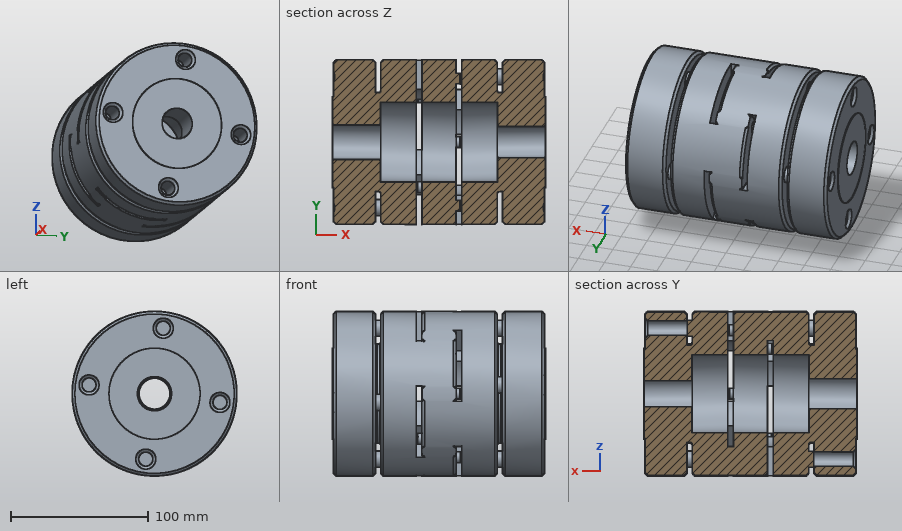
import cadquery as cq
import math


total_length = 155.0
half_length = total_length / 2
boss_height = 0.6
flange_outer_face = half_length - boss_height
flange_inner_face = 46.2
body_end = 42.5
hub_step = 45.1
hub_cone_start = 43.2

outer_diameter = 120.0
boss_diameter = 66.3
hub_diameter = 72.4
hub_step_diameter = 72.0
hub_cone_diameter = 74.4
bore_diameter = 22.5
wide_bore_diameter = 25.0
cavity_diameter = 58.0
groove_diameter = 78.1
rim_chamfer = 2.0

bolt_count = 4
bolt_circle_radius = 48.0
bolt_twist = 7.6
bolt_diameter = 12.0
bolt_hole_diameter = 10.2
countersink_diameter = 14.5

slot_count = 4
slot_outer_face = 16.5
pad_face = 12.4
pad_root = 10.5
pad_root_half_width = 5.5
pad_bevel = pad_face - pad_root
pad_spacing = 45.0
stud_diameter = 8.0
stud_circle_radius = 46.2
stud_end = 15.3

slot_reach = outer_diameter


def rod(diameter, start, end):
    """Cylinder on the X axis between two axial positions."""
    return cq.Workplane("YZ", origin=(start, 0, 0)).circle(diameter / 2).extrude(end - start)


def cone(start_diameter, end_diameter, start, end):
    """Truncated cone on the X axis."""
    solid = cq.Solid.makeCone(
        start_diameter / 2,
        end_diameter / 2,
        end - start,
        pnt=cq.Vector(start, 0, 0),
        dir=cq.Vector(1, 0, 0),
    )
    return cq.Workplane(obj=solid)


def around(shape, radius, count, first_angle):
    """Equally spaced copies of a shape on a circle; angles run from +Y towards +Z."""
    copies = cq.Workplane()
    for index in range(count):
        angle = first_angle + index * 360 / count
        copies = copies.add(shape.translate((0, radius, 0)).rotate((0, 0, 0), (1, 0, 0), angle))
    return copies.combine()


def chamfered_drum(start, end):
    """Solid drum of the full outer diameter with chamfered rims."""
    return rod(outer_diameter, start, end).faces("<X or >X").chamfer(rim_chamfer)


def end_flange(bolt_angle):
    """Flange, neck and bolts at the +X end, without the bore."""
    flange = chamfered_drum(flange_inner_face, flange_outer_face)
    boss = rod(boss_diameter, flange_outer_face - boss_height, half_length)
    neck = rod(hub_diameter, body_end, hub_step)
    neck_step = rod(hub_step_diameter, hub_step, flange_inner_face)
    neck_cone = cone(hub_cone_diameter, hub_diameter, body_end, hub_cone_start)
    bolt = rod(bolt_diameter, body_end, flange_inner_face)

    countersink_depth = (countersink_diameter - bolt_hole_diameter) / 2
    hole = rod(bolt_hole_diameter, flange_inner_face, flange_outer_face).union(
        cone(
            bolt_hole_diameter,
            countersink_diameter,
            flange_outer_face - countersink_depth,
            flange_outer_face,
        )
    )
    solid = flange.union(boss).union(neck).union(neck_step).union(neck_cone)
    solid = solid.union(around(bolt, bolt_circle_radius, bolt_count, bolt_angle))
    return solid.cut(around(hole, bolt_circle_radius, bolt_count, bolt_angle))


def slot_cutter(slot_angle):
    """Slots on the +X side; their inner wall has a bevelled rim, interrupted by a pad at both ends."""
    half_angle = math.radians(pad_spacing / 2)
    apex = -pad_root_half_width / math.sin(half_angle)
    spread = (slot_reach - apex) * math.tan(half_angle)
    wedge = (
        cq.Workplane("YZ", origin=(pad_root, 0, 0))
        .polyline([(apex, 0), (slot_reach, -spread), (slot_reach, spread)])
        .close()
        .extrude(slot_outer_face - pad_root)
    )
    face_half_width = pad_root_half_width - pad_bevel
    pad = (
        cq.Workplane("XZ")
        .polyline(
            [
                (pad_root, -pad_root_half_width),
                (pad_face, -face_half_width),
                (pad_face, face_half_width),
                (pad_root, pad_root_half_width),
            ]
        )
        .close()
        .extrude(-outer_diameter)
    )
    bevelled_rim = cone(outer_diameter, outer_diameter - 2 * pad_bevel, pad_root, pad_face)
    wedge = wedge.cut(bevelled_rim)
    for side in (-1, 1):
        wedge = wedge.cut(pad.rotate((0, 0, 0), (1, 0, 0), side * pad_spacing / 2))
    return around(wedge, 0, slot_count, slot_angle)


def mirrored(shape):
    """The same shape at the -X end."""
    return shape.mirror("YZ")


body = chamfered_drum(-body_end, body_end).cut(rod(cavity_diameter, -body_end, body_end))
groove = rod(groove_diameter, pad_face, slot_outer_face)
body = body.cut(groove).cut(mirrored(groove))
body = body.cut(slot_cutter(1.5 * pad_spacing))
body = body.cut(mirrored(slot_cutter(0.5 * pad_spacing)))

stud = rod(stud_diameter, pad_root, stud_end)
body = body.union(around(stud, stud_circle_radius, slot_count, 0))
body = body.union(mirrored(around(stud, stud_circle_radius, slot_count, pad_spacing)))

result = body.union(end_flange(-bolt_twist)).union(mirrored(end_flange(bolt_twist)))

result = result.cut(rod(bore_diameter, 0, half_length))
result = result.cut(rod(wide_bore_diameter, -half_length, 0))